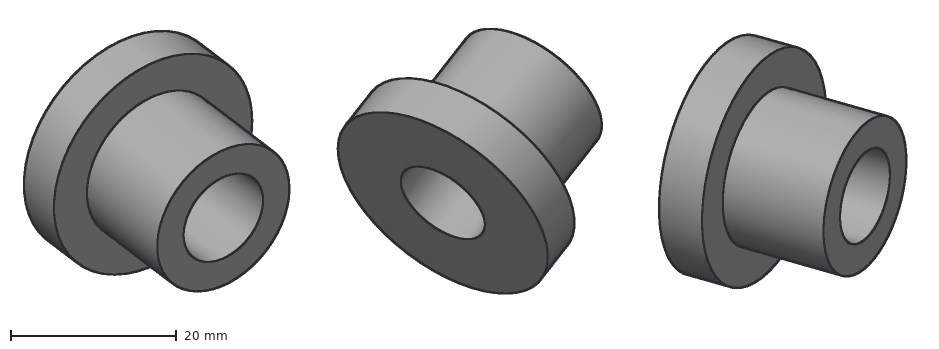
import cadquery as cq

flange_diameter = 30.0
flange_thickness = 6.0
sleeve_diameter = 20.0
bore_diameter = 12.0
total_length = 20.0


def cylinder_along_x(diameter, length):
    """Solid cylinder starting at the flange's outer face (X = 0)."""
    return cq.Workplane("YZ").circle(diameter / 2).extrude(length)


flange = cylinder_along_x(flange_diameter, flange_thickness)
sleeve = cylinder_along_x(sleeve_diameter, total_length)
bore = cylinder_along_x(bore_diameter, total_length)

result = flange.union(sleeve).cut(bore)